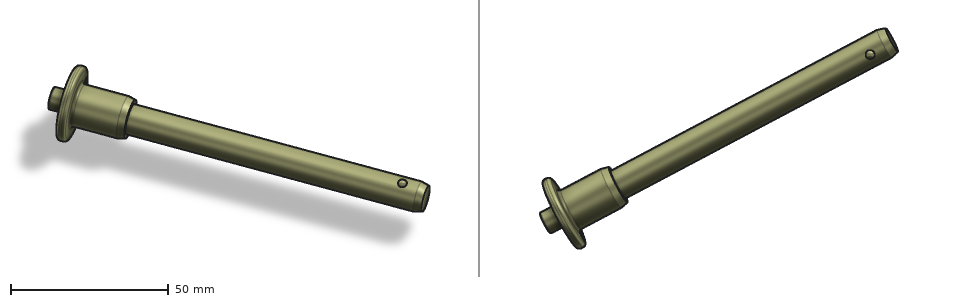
import cadquery as cq
import math

total_length = 125.5

button_radius = 3.8
button_length = 5.4
button_edge_radius = 0.5

flange_radius = 12.49
flange_thickness = 3.0
flange_edge_radius = 1.1
lanyard_hole_radius = 1.5
lanyard_hole_offset = 9.7

collar_radius = 7.0
collar_end = 26.5
collar_root_radius = 1.0
collar_nose_length = 2.5
collar_nose_radius = 6.4

shank_radius = 5.0
tip_length = 2.6
tip_radius = 4.3

ball_radius = 1.5
ball_protrusion = 1.0
ball_to_tip = 7.8

flange_back = button_length + flange_thickness
collar_nose_start = collar_end - collar_nose_length
ball_x = total_length - ball_to_tip
ball_offset = shank_radius + ball_protrusion - ball_radius
arc_middle = math.sqrt(0.5)


def make_ball(side):
    """Locking ball above (side = 1) or below (side = -1) the pin axis."""
    center = (ball_x, 0, side * ball_offset)
    return cq.Workplane("XY").sphere(ball_radius).translate(center)


def make_pin_profile():
    """Half outline of the turned pin, with distance from the axis along Y."""
    button_edge_inset = button_edge_radius * (1 - arc_middle)
    flange_edge_inset = flange_edge_radius * (1 - arc_middle)
    root_inset = collar_root_radius * (1 - arc_middle)
    return (
        cq.Workplane("XY")
        .lineTo(0, button_radius - button_edge_radius)
        .threePointArc(
            (button_edge_inset, button_radius - button_edge_inset),
            (button_edge_radius, button_radius),
        )
        .lineTo(button_length, button_radius)
        .lineTo(button_length, flange_radius - flange_edge_radius)
        .threePointArc(
            (button_length + flange_edge_inset, flange_radius - flange_edge_inset),
            (button_length + flange_edge_radius, flange_radius),
        )
        .lineTo(flange_back - flange_edge_radius, flange_radius)
        .threePointArc(
            (flange_back - flange_edge_inset, flange_radius - flange_edge_inset),
            (flange_back, flange_radius - flange_edge_radius),
        )
        .lineTo(flange_back, collar_radius + collar_root_radius)
        .threePointArc(
            (flange_back + root_inset, collar_radius + root_inset),
            (flange_back + collar_root_radius, collar_radius),
        )
        .lineTo(collar_nose_start, collar_radius)
        .lineTo(collar_end, collar_nose_radius)
        .lineTo(collar_end, shank_radius)
        .lineTo(total_length - tip_length, shank_radius)
        .lineTo(total_length, tip_radius)
        .lineTo(total_length, 0)
        .close()
    )


def make_lanyard_hole():
    """Cutter through the flange on its +Y side."""
    return (
        cq.Workplane("YZ", origin=(button_length, 0, 0))
        .center(lanyard_hole_offset, 0)
        .circle(lanyard_hole_radius)
        .extrude(flange_thickness)
    )


balls = [make_ball(side) for side in (1, -1)]

pin = make_pin_profile().revolve(360, (0, 0, 0), (1, 0, 0))
pin = pin.cut(make_lanyard_hole())
for ball in balls:
    pin = pin.cut(ball)

result = cq.Compound.makeCompound([pin.val(), *[ball.val() for ball in balls]])